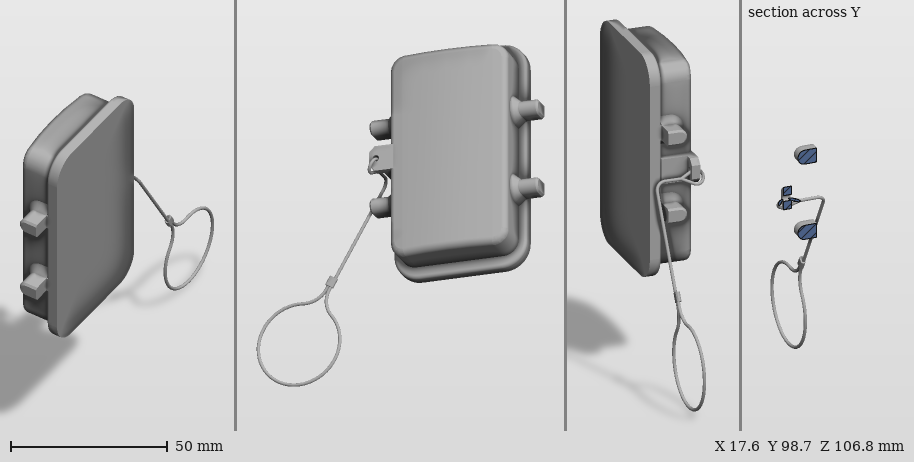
import cadquery as cq
import math


flange_width = 45.1
flange_height = 76.5
flange_thickness = 4.1
flange_corner = 8.4
flange_fillet = 1.1

body_width = 39.8
body_height = 68.8
body_corner = 5.1
body_depth = 17.3
dome_radius = 101.5
dome_fillet = 2.1

peg_span = 57.1
peg_pitch = 26.7
peg_radius = 2.6
peg_centre_x = -8.1
peg_chamfer = 0.6
flare_radius = 4.8
flare_centre_x = -7.7
flare_end_y = flange_width / 2
peg_embed = 1.1

tab_front_x = -15.7
tab_thickness = 2.9
tab_height = 8.4
tab_end_y = 26.7
tab_embed = 1.5
tab_root_y = body_width / 2 - tab_embed
tab_chamfer = 1.9
tab_hole_radius = 1.1
tab_hole_y = 24.5

wire_radius = 0.5
wire_x = -0.9
tether_angle = math.radians(30)
lead_offset = 0.16
strand_gap = 1.0
return_offset = lead_offset - strand_gap
bend_radius = 3.2
eye_radius = 2.3
eye_front_x = -17.6
eye_apex_x = -9.6
eye_overlap = 0.5

overall_height = 106.8
ring_distance = 62.6
ring_bottom_z = flange_height / 2 - overall_height
ring_radius = -ring_bottom_z - ring_distance * math.cos(tether_angle) - wire_radius
neck_radius = 8.2

ferrule_distance = 39.8
ferrule_length = 3.2
ferrule_width = 2.9
ferrule_thickness = 1.5
ferrule_x = -1.1
ferrule_chamfer = 0.4


def prism(width, height, x_from, x_to):
    """Box centred on Y = Z = 0 between two X positions."""
    return (
        cq.Workplane("YZ", origin=(x_from, 0, 0))
        .rect(width, height)
        .extrude(x_to - x_from)
    )


def make_flange():
    plate = prism(flange_width, flange_height, -flange_thickness, 0)
    return plate.edges("|X").fillet(flange_corner).faces("<X").edges().fillet(flange_fillet)


def make_body():
    block = prism(body_width, body_height, -body_depth, 0).edges("|X").fillet(body_corner)
    dome = (
        cq.Workplane("XY", origin=(dome_radius - body_depth, 0, 0))
        .circle(dome_radius)
        .extrude(body_height, both=True)
    )
    return block.intersect(dome).faces("<X").edges().fillet(dome_fillet)


def peg_outline(plane, radius, centre_x, back_x):
    """U-shaped outline, round towards -X and open to a flat back."""
    return (
        plane.moveTo(back_x, radius)
        .lineTo(centre_x, radius)
        .threePointArc((centre_x - radius, 0), (centre_x, -radius))
        .lineTo(back_x, -radius)
        .close()
    )


def make_peg():
    """Peg pointing along +Y, with the flare that joins it to the body side."""
    wall_y = body_width / 2
    start_y = wall_y - peg_embed
    plane = cq.Workplane("XZ")
    peg = peg_outline(
        plane.workplane(offset=-start_y), peg_radius, peg_centre_x, -flange_thickness
    ).extrude(start_y - peg_span / 2)
    peg = peg.faces(">Y").edges("not >X").chamfer(peg_chamfer)
    flare_length = flare_end_y - wall_y
    flare = peg_outline(
        plane.workplane(offset=-wall_y), flare_radius, flare_centre_x, -flange_thickness
    )
    flare = peg_outline(
        flare.workplane(offset=-flare_length), peg_radius, flare_centre_x, -flange_thickness
    ).loft(ruled=True)
    foot = prism(flare_end_y - start_y, 2 * peg_radius, -flange_thickness, 0)
    foot = foot.translate((0, (flare_end_y + start_y) / 2, 0))
    return peg.union(flare).union(foot)


def make_tab():
    tab = prism(2 * tab_end_y, tab_height, tab_front_x, tab_front_x + tab_thickness)
    tab = tab.edges("|X and >Y").chamfer(tab_chamfer)
    rib = prism(flange_width, tab_height, tab_front_x, -flange_thickness)
    hole = (
        cq.Workplane("YZ", origin=(tab_front_x, tab_hole_y, 0))
        .circle(tab_hole_radius)
        .extrude(tab_thickness)
    )
    outer_side = prism(tab_end_y - tab_root_y, tab_height, tab_front_x, 0)
    outer_side = outer_side.translate((0, (tab_end_y + tab_root_y) / 2, 0))
    return tab.union(rib).cut(hole).intersect(outer_side)


def tether_point(x, distance, offset):
    """Point at a distance from the tab hole along the tether and an offset to its -Y side."""
    return cq.Vector(
        x,
        tab_hole_y + distance * math.sin(tether_angle) - offset * math.cos(tether_angle),
        -distance * math.cos(tether_angle) - offset * math.sin(tether_angle),
    )


def tether_direction(x, distance, offset):
    """Vector with the given parts along X, along the tether and across it."""
    return tether_point(x, distance, offset) - tether_point(0, 0, 0)


def wire(edges):
    """Round wire swept along connected edges."""
    path = cq.Wire.assembleEdges(edges)
    section = cq.Workplane(cq.Plane(edges[0].startPoint(), normal=edges[0].tangentAt(0)))
    return section.circle(wire_radius).sweep(cq.Workplane(path))


def make_eye():
    """Teardrop of wire that passes through the tab hole and around the tab end."""
    centre_x = eye_front_x + wire_radius + eye_radius
    apex = tether_point(eye_apex_x, eye_radius, lead_offset)
    taper = math.asin(eye_radius / (eye_apex_x - centre_x))
    touch_x = centre_x + eye_radius * math.sin(taper)
    half_width = eye_radius * math.cos(taper)
    inner = tether_point(touch_x, eye_radius - half_width, lead_offset)
    front = tether_point(centre_x - eye_radius, eye_radius, lead_offset)
    outer = tether_point(touch_x, eye_radius + half_width, lead_offset)
    return wire([
        cq.Edge.makeLine(apex, inner),
        cq.Edge.makeThreePointArc(inner, front, outer),
        cq.Edge.makeLine(outer, apex),
    ])


def make_lead():
    """Wire from the eye, bent round to run straight down to the ferrule."""
    start = tether_point(eye_apex_x - eye_overlap, eye_radius, lead_offset)
    bend_start = tether_point(wire_x - bend_radius, eye_radius, lead_offset)
    bend_end = tether_point(wire_x, eye_radius + bend_radius, lead_offset)
    end = tether_point(wire_x, ferrule_distance, lead_offset)
    return wire([
        cq.Edge.makeLine(start, bend_start),
        cq.Edge.makeTangentArc(bend_start, tether_direction(1.1, 0, 0), bend_end),
        cq.Edge.makeLine(bend_end, end),
    ])


def neck_edges(strand, side):
    """Edges from the ferrule to the ring for one strand, and the point where they meet the ring."""
    arc_centre_offset = strand + side * neck_radius
    centre_gap = ring_radius + neck_radius
    neck_distance = ring_distance - math.sqrt(centre_gap**2 - arc_centre_offset**2)
    touch_share = ring_radius / centre_gap
    touch_distance = ring_distance + (neck_distance - ring_distance) * touch_share
    start = tether_point(wire_x, ferrule_distance, strand)
    neck = tether_point(wire_x, neck_distance, strand)
    touch = tether_point(wire_x, touch_distance, arc_centre_offset * touch_share)
    edges = [
        cq.Edge.makeLine(start, neck),
        cq.Edge.makeTangentArc(neck, tether_direction(0, 1.1, 0), touch),
    ]
    return edges, touch


def make_ring():
    """Wire ring whose two ends curve together in necks and enter the ferrule."""
    lead_edges, lead_touch = neck_edges(lead_offset, 1)
    return_edges, return_touch = neck_edges(return_offset, -1)
    far_side = tether_point(wire_x, ring_distance + ring_radius, 0)
    ring_arc = cq.Edge.makeThreePointArc(lead_touch, far_side, return_touch)
    return wire(lead_edges + [ring_arc]).union(wire(return_edges))


def make_ferrule():
    middle_offset = (lead_offset + return_offset) / 2
    plane = cq.Plane(
        tether_point(ferrule_x, ferrule_distance, middle_offset),
        xDir=(1, 0, 0),
        normal=tether_direction(0, 1.1, 0),
    )
    block = cq.Workplane("XY").box(ferrule_thickness, ferrule_width, ferrule_length)
    block = block.edges("|Z").chamfer(ferrule_chamfer)
    return cq.Workplane(block.val().moved(cq.Location(plane)))


result = make_flange().union(make_body())

peg = make_peg()
for peg_z in (-peg_pitch / 2, peg_pitch / 2):
    result = result.union(peg.translate((0, 0, peg_z)))
    result = result.union(peg.mirror("XZ").translate((0, 0, peg_z)))

result = result.union(make_tab())
for tether_part in (make_eye(), make_ring(), make_lead(), make_ferrule()):
    result = result.union(tether_part)